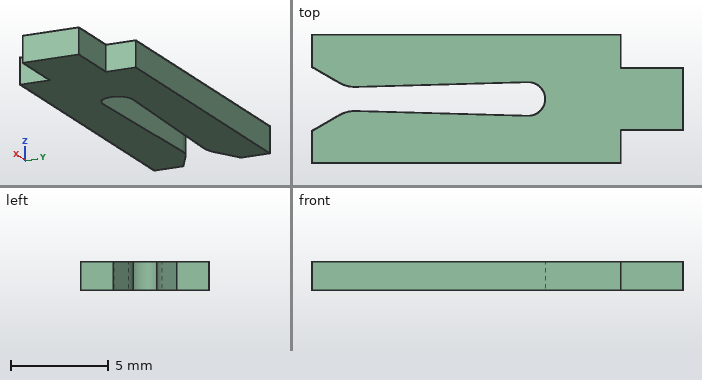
import cadquery as cq
import math

length = 19.05
width = 6.6
thickness = 1.47

tab_size = 3.2
body_length = length - tab_size

mouth_half_width = 1.64
lead_in_angle = math.radians(30)
slot_end_x = 11.96
slot_end_radius = 0.85
wall_taper_angle = math.radians(1.6)
throat_fillet = 1.6

end_center_x = slot_end_x - slot_end_radius
tangent_x = end_center_x - slot_end_radius * math.sin(wall_taper_angle)
tangent_y = slot_end_radius * math.cos(wall_taper_angle)

lead_in_slope = math.tan(lead_in_angle)
wall_slope = math.tan(wall_taper_angle)
wall_y_at_mouth = tangent_y - tangent_x * wall_slope
throat_x = (mouth_half_width - wall_y_at_mouth) / (lead_in_slope + wall_slope)
throat_y = mouth_half_width - throat_x * lead_in_slope


def make_blank():
    body = cq.Workplane("XY").box(body_length, width, thickness, centered=(False, True, True))
    tab = cq.Workplane("XY").box(tab_size, tab_size, thickness, centered=(False, True, True))
    return body.union(tab.translate((body_length, 0, 0)))


def make_slot():
    return (
        cq.Workplane("XY")
        .workplane(offset=-thickness / 2)
        .moveTo(0, mouth_half_width)
        .lineTo(throat_x, throat_y)
        .lineTo(tangent_x, tangent_y)
        .threePointArc((slot_end_x, 0), (tangent_x, -tangent_y))
        .lineTo(throat_x, -throat_y)
        .lineTo(0, -mouth_half_width)
        .close()
        .extrude(thickness)
    )


def round_throat(fork):
    """Round the two vertical edges where the lead-in turns into the slot walls."""
    for y in (throat_y, -throat_y):
        corner = cq.selectors.NearestToPointSelector((throat_x, y, 0))
        fork = fork.edges("|Z").edges(corner).fillet(throat_fillet)
    return fork


result = round_throat(make_blank().cut(make_slot()))